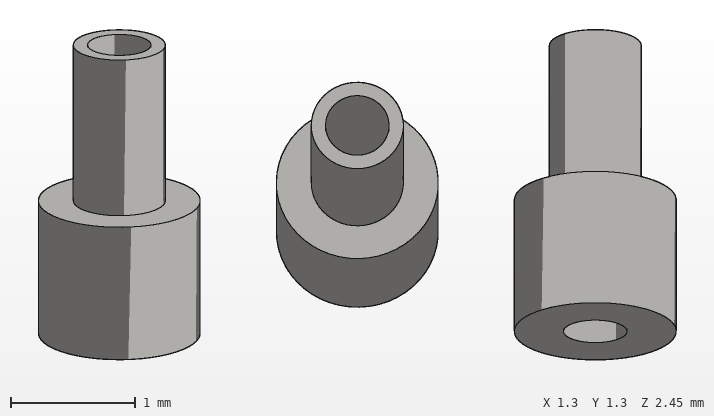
import cadquery as cq

total_height = 2.45
base_diameter = 1.3
base_height = 1.127
neck_diameter = 0.74
bore_diameter = 0.51

neck_height = total_height - base_height

base = cq.Workplane("XY").circle(base_diameter / 2).extrude(base_height)
neck = (
    cq.Workplane("XY")
    .workplane(offset=base_height)
    .circle(neck_diameter / 2)
    .extrude(neck_height)
)
bore = cq.Workplane("XY").circle(bore_diameter / 2).extrude(total_height)

result = base.union(neck).cut(bore)